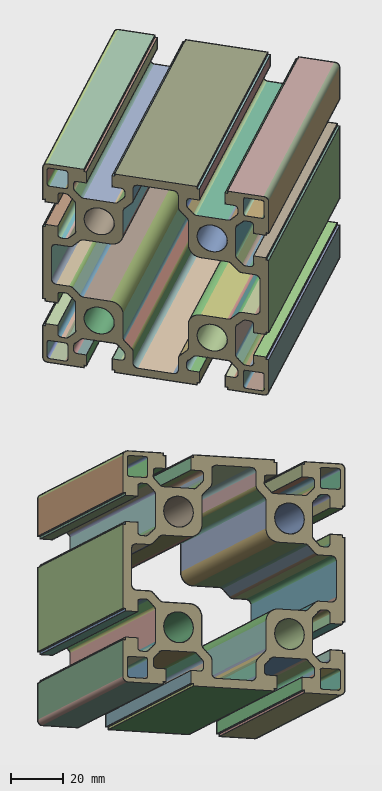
import cadquery as cq
import math

side = 90.0
length = 100.0
side_count = 4
half_side = side / 2
slot_spacing = side / 2
slot_offset = slot_spacing / 2
outer_corner_radius = 2.0

mouth_width = 12.2
mouth_step_depth = 1.0
neck_width = 10.2
lip_depth = 6.0
slot_depth = 13.15
slot_width = 20.4
slot_floor_width = 13.8
lip_corner_radius = 1.5
slot_shoulder_radius = 1.8
slot_floor_radius = 1.5

bore_diameter = 12.0
chamber_size = 8.2
chamber_wall = 1.8
chamber_radius = 1.0

cavity_wall = 3.5
arm_width = 18.0
core_half_size = 9.5
arm_bevel_depth = 11.5
arm_corner_radius = 2.0
arm_bevel_radius = 2.0
arm_root_radius = 2.0
core_corner_radius = 5.0


def rounded_outline(corners):
    """Closed outline from (x, z, radius) corners; a radius of zero leaves the corner sharp."""
    stops = []
    for index, (x, z, radius) in enumerate(corners):
        corner = cq.Vector(x, z)
        previous_x, previous_z, _ = corners[index - 1]
        following_x, following_z, _ = corners[(index + 1) % len(corners)]
        back = (cq.Vector(previous_x, previous_z) - corner).normalized()
        ahead = (cq.Vector(following_x, following_z) - corner).normalized()
        if radius == 0:
            stops.append((corner, None, corner))
            continue
        half_angle = back.getAngle(ahead) / 2
        tangent_length = radius / math.tan(half_angle)
        arc_gap = radius / math.sin(half_angle) - radius
        arc_middle = corner + (back + ahead).normalized() * arc_gap
        stops.append((corner + back * tangent_length, arc_middle, corner + ahead * tangent_length))

    first_start = stops[0][0]
    outline = cq.Workplane("XZ").moveTo(first_start.x, first_start.y)
    for index, (start, arc_middle, end) in enumerate(stops):
        if index > 0:
            outline = outline.lineTo(start.x, start.y)
        if arc_middle is not None:
            outline = outline.threePointArc((arc_middle.x, arc_middle.y), (end.x, end.y))
    return outline.close()


def extruded(outline):
    """Solid of the full profile length, centred on Y = 0."""
    return outline.extrude(length / 2, both=True)


def quarter_turned(shape, turn):
    """Shape turned about the Y axis by a number of quarter turns."""
    return shape.rotate((0, 0, 0), (0, 1, 0), turn * 360 / side_count)


def outer_block():
    block = cq.Workplane("XY").box(side, length, side)
    return block.edges("|Y").fillet(outer_corner_radius)


def t_slot(center_x):
    """Slot cut into the +Z face, symmetric about center_x."""
    shoulder_depth = slot_depth - (slot_width - slot_floor_width) / 2
    flank = [
        (mouth_width / 2, half_side, 0),
        (mouth_width / 2, half_side - mouth_step_depth, 0),
        (neck_width / 2, half_side - mouth_step_depth, 0),
        (neck_width / 2, half_side - lip_depth, 0),
        (slot_width / 2, half_side - lip_depth, lip_corner_radius),
        (slot_width / 2, half_side - shoulder_depth, slot_shoulder_radius),
        (slot_floor_width / 2, half_side - slot_depth, slot_floor_radius),
    ]
    right = [(center_x + x, z, radius) for x, z, radius in flank]
    left = [(center_x - x, z, radius) for x, z, radius in reversed(flank)]
    return extruded(rounded_outline(right + left))


def central_cavity():
    """Cross-shaped cavity: four identical arms joined at rounded inner corners."""
    arm_end = half_side - cavity_wall
    arm_half = arm_width / 2
    bevel_start = half_side - arm_bevel_depth
    core_wall = slot_offset - core_half_size
    bevel_end = bevel_start - (core_wall - arm_half)
    flank = [
        (arm_half, arm_end, arm_corner_radius),
        (arm_half, bevel_start, arm_bevel_radius),
        (core_wall, bevel_end, arm_root_radius),
    ]
    inner_corner = [(core_wall, core_wall, core_corner_radius)]
    next_arm_flank = [(z, x, radius) for x, z, radius in reversed(flank)]
    quarter = flank + inner_corner + next_arm_flank

    corners = []
    for turn in range(side_count):
        corners += quarter
        quarter = [(z, -x, radius) for x, z, radius in quarter]
    return extruded(rounded_outline(corners))


def bore():
    return extruded(cq.Workplane("XZ").center(slot_offset, slot_offset).circle(bore_diameter / 2))


def corner_chamber():
    center = half_side - chamber_wall - chamber_size / 2
    chamber = extruded(cq.Workplane("XZ").center(center, center).rect(chamber_size, chamber_size))
    return chamber.edges("|Y").fillet(chamber_radius)


result = outer_block().cut(central_cavity())
corner_features = [t_slot(-slot_offset), t_slot(slot_offset), bore(), corner_chamber()]
for quarter_turn in range(side_count):
    for feature in corner_features:
        result = result.cut(quarter_turned(feature, quarter_turn))